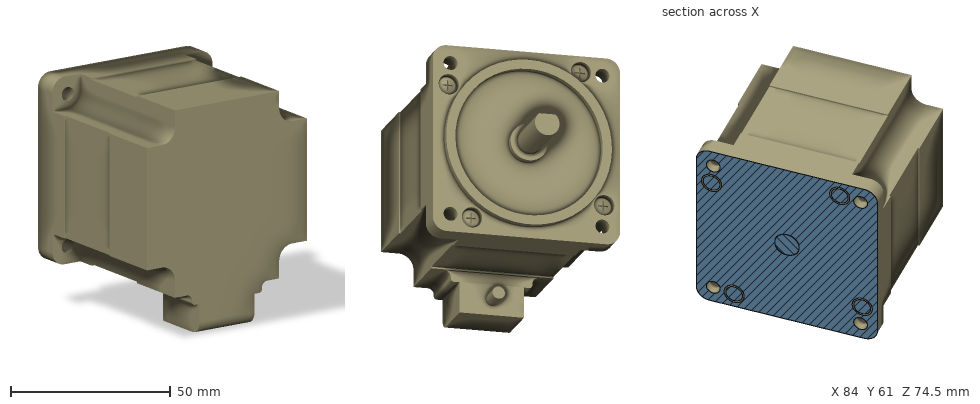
import cadquery as cq
import math


flange_square = 61.0
flange_thickness = 8.0
flange_corner_radius = 4.5
front_end = 14.25
stator_square = 60.0
stator_length = 25.0
rear_start = front_end + stator_length
rear_end = 60.0

mount_circle_diameter = 70.0
mount_hole_diameter = 4.5
mount_offset = mount_circle_diameter / 2 * math.sin(math.radians(45))
notch_radius = 5.0
notch_wall = 19.9

pilot_diameter = 54.0
pilot_bore = 48.0
pilot_height = 3.0
boss_diameter = 12.0

shaft_diameter = 8.0
shaft_tip = -24.0
flat_length = 16.0
flat_depth = 1.0

screw_circle_radius = 30.9
screw_angle = 35.0
counterbore_radius = 3.3
counterbore_depth = 3.0
screw_head_radius = 2.9
screw_crown_radius = 2.2
screw_crown_height = 0.5
screw_head_height = 2.0
cross_length = 3.3
cross_width = 0.4
cross_depth = 1.0

outlet_front = rear_end - 19.7
outlet_height = 3.5
outlet_width = 26.6
outlet_flare_radius = 2.0
outlet_edge_radius = 1.0
elbow_length = 20.0
elbow_width = 21.0
elbow_height = 10.0
elbow_radius = 4.0
cable_diameter = 4.0
cable_length = 8.0


def cylinder(diameter, x_start, x_end, y=0.0, z=0.0):
    """Cylinder along X between two X positions."""
    plane = cq.Plane(origin=(x_start, y, z), xDir=(0, 0, 1), normal=(1, 0, 0))
    return cq.Workplane(plane).circle(diameter / 2).extrude(x_end - x_start)


def box(x_start, x_end, y_width, z_bottom, z_top):
    """Box centred on Y between X and Z limits."""
    size = (x_end - x_start, y_width, z_top - z_bottom)
    return cq.Workplane("XY").box(*size, centered=(False, True, False)).translate((x_start, 0, z_bottom))


def square_block(side, x_start, x_end):
    """Block of square section centred on the motor axis."""
    return box(x_start, x_end, side, -side / 2, side / 2)


def around_axis(shape):
    """The four copies of a shape, a quarter turn apart about the motor axis."""
    return [shape.rotate((0, 0, 0), (1, 0, 0), 90 * turn) for turn in range(4)]


def cut_corner_notches(body):
    """Square corner notches behind the mounting plate, with a round inner edge."""
    notch_size = flange_square / 2
    notch = (
        cq.Workplane("XY")
        .box(rear_end - flange_thickness, notch_size, notch_size, centered=False)
        .translate((flange_thickness, notch_wall, notch_wall))
        .edges("|X and <Y and <Z")
        .fillet(notch_radius)
    )
    for copy in around_axis(notch):
        body = body.cut(copy)
    return body


def screw_head():
    """Cross-recess head on the floor of its counterbore: a shallow cone with a rounded rim."""
    top = counterbore_depth - screw_head_height
    crown_edge = top + screw_crown_height
    rim_rounding = screw_head_radius - screw_crown_radius
    rim_edge = crown_edge + rim_rounding
    arc_inset = rim_rounding * (1 - math.sqrt(0.5))
    head = (
        cq.Workplane("XY")
        .moveTo(counterbore_depth, 0)
        .lineTo(top, 0)
        .lineTo(crown_edge, screw_crown_radius)
        .threePointArc((crown_edge + arc_inset, screw_head_radius - arc_inset), (rim_edge, screw_head_radius))
        .lineTo(counterbore_depth, screw_head_radius)
        .close()
        .revolve(360, (0, 0, 0), (1, 0, 0))
    )
    for y_size, z_size in ((cross_length, cross_width), (cross_width, cross_length)):
        head = head.cut(box(top, top + cross_depth, y_size, -z_size / 2, z_size / 2))
    return head


def make_front_flange():
    """Flange with pilot ring, shaft boss, mounting holes and sunk screw heads, bored for the shaft."""
    body = square_block(flange_square, 0, front_end)
    body = body.edges("|X").fillet(flange_corner_radius)
    body = cut_corner_notches(body)
    pilot = cylinder(pilot_diameter, -pilot_height, 0).cut(cylinder(pilot_bore, -pilot_height, 0))
    body = body.union(pilot).union(cylinder(boss_diameter, -pilot_height, 0))

    mount_hole = cylinder(mount_hole_diameter, 0, flange_thickness, mount_offset, mount_offset)
    for hole in around_axis(mount_hole):
        body = body.cut(hole)

    angle = math.radians(screw_angle)
    screw_place = (0, screw_circle_radius * math.cos(angle), screw_circle_radius * math.sin(angle))
    counterbore = cylinder(2 * counterbore_radius, 0, counterbore_depth).cut(screw_head())
    for recess in around_axis(counterbore.translate(screw_place)):
        body = body.cut(recess)

    return body.cut(cylinder(shaft_diameter, -pilot_height, front_end))


def make_stator():
    """Middle section, slightly narrower than the sections at its two ends."""
    return cut_corner_notches(square_block(stator_square, front_end, rear_start))


def make_cable_outlet(top, bottom):
    """Cable outlet that flares into the cover above and is rounded along its lower edges."""
    half_width = outlet_width / 2
    flare_end = half_width + outlet_flare_radius
    plane = cq.Plane(origin=(outlet_front, 0, 0), xDir=(0, 1, 0), normal=(1, 0, 0))
    return (
        cq.Workplane(plane)
        .moveTo(-flare_end, top)
        .radiusArc((-half_width, top - outlet_flare_radius), outlet_flare_radius)
        .lineTo(-half_width, bottom + outlet_edge_radius)
        .radiusArc((-half_width + outlet_edge_radius, bottom), -outlet_edge_radius)
        .lineTo(half_width - outlet_edge_radius, bottom)
        .radiusArc((half_width, bottom + outlet_edge_radius), -outlet_edge_radius)
        .lineTo(half_width, top - outlet_flare_radius)
        .radiusArc((flare_end, top), outlet_flare_radius)
        .close()
        .extrude(rear_end - outlet_front)
    )


def make_rear_cover():
    """Rear section with the cable outlet, elbow and cable stub below it."""
    body = cut_corner_notches(square_block(flange_square, rear_start, rear_end))
    cover_bottom = -flange_square / 2
    outlet_bottom = cover_bottom - outlet_height
    outlet = make_cable_outlet(cover_bottom, outlet_bottom)

    elbow_front = rear_end - elbow_length
    elbow_bottom = outlet_bottom - elbow_height
    elbow = box(elbow_front, rear_end, elbow_width, elbow_bottom, outlet_bottom)
    elbow = elbow.edges("|Y and >X and <Z").fillet(elbow_radius)

    cable_z = outlet_bottom - elbow_height / 2
    cable = cylinder(cable_diameter, elbow_front - cable_length, elbow_front, 0, cable_z)
    return body.union(outlet).union(elbow).union(cable)


def make_shaft():
    """Shaft with a flat on its outer end, seated through the full depth of the flange."""
    shaft = cylinder(shaft_diameter, shaft_tip, front_end)
    radius = shaft_diameter / 2
    flat = box(shaft_tip, shaft_tip + flat_length, shaft_diameter, radius - flat_depth, radius)
    return shaft.cut(flat)


front_flange = make_front_flange()
stator = make_stator()
rear_cover = make_rear_cover()
shaft = make_shaft()

result = cq.Compound.makeCompound([front_flange.val(), stator.val(), rear_cover.val(), shaft.val()])